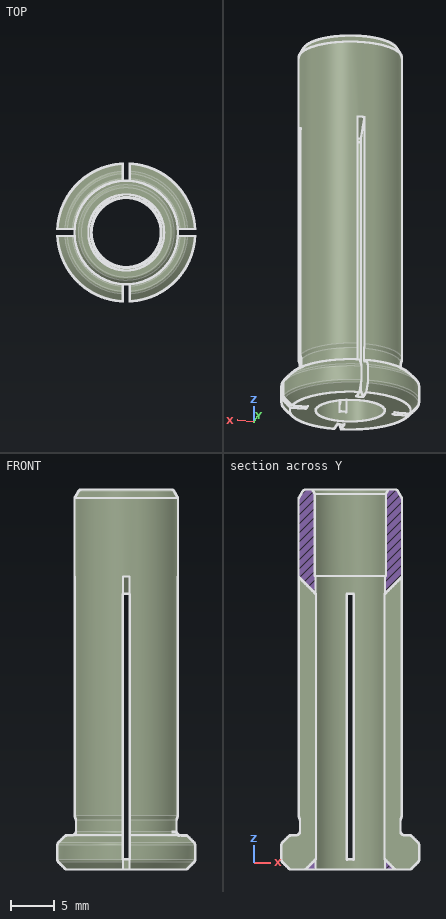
import cadquery as cq
import math

length = 44.0
tube_radius = 12.0 / 2

head_radius = 16.0 / 2
head_height = 4.0
head_chamfer = 1.0
head_edge_rounding = 0.4

groove_radius = 5.85
groove_top = 5.75
groove_taper_height = 0.5
groove_root_rounding = 0.4

tip_taper_height = 1.0
tip_taper_angle = 30.0
tip_edge_rounding = 0.4

clearance_bore_radius = 8.2 / 2
grip_bore_radius = 8.0 / 2
grip_bore_top = 34.0
mouth_taper_width = 0.3
mouth_taper_angle = 30.0

slot_count = 4
slot_width = 0.8
slot_top = 33.9
slot_bottom = 1.2
cutter_overrun = 1.0


def outer_body():
    """Revolved outside shape of the sleeve, still solid."""
    tip_radius = tube_radius - tip_taper_height * math.tan(math.radians(tip_taper_angle))
    return (
        cq.Workplane("XZ")
        .moveTo(0, 0)
        .lineTo(head_radius - head_chamfer, 0)
        .lineTo(head_radius, head_chamfer)
        .lineTo(head_radius, head_height - head_chamfer)
        .lineTo(head_radius - head_chamfer, head_height)
        .lineTo(groove_radius, head_height)
        .lineTo(groove_radius, groove_top)
        .lineTo(tube_radius, groove_top + groove_taper_height)
        .lineTo(tube_radius, length - tip_taper_height)
        .lineTo(tip_radius, length)
        .lineTo(0, length)
        .close()
        .revolve(360, (0, 0, 0), (0, 1, 0))
    )


def ring_edges(body, radius, height):
    """Circular edges of the given radius centred on the axis at the given height."""
    tolerance = 0.01
    return body.edges("%CIRCLE").filter(
        lambda edge: abs(edge.radius() - radius) < tolerance
        and abs(edge.Center().z - height) < tolerance
    )


def round_edges(body):
    """Round the head edges, the groove root and the rim of the tip."""
    rim_radius = head_radius - head_chamfer
    for radius, height in (
        (head_radius, head_chamfer),
        (head_radius, head_height - head_chamfer),
        (rim_radius, head_height),
    ):
        body = ring_edges(body, radius, height).fillet(head_edge_rounding)
    body = ring_edges(body, groove_radius, head_height).fillet(groove_root_rounding)
    return body.faces(">Z").edges().fillet(tip_edge_rounding)


def bore():
    """Stepped through bore with a tapered upper mouth."""
    mouth_radius = clearance_bore_radius + mouth_taper_width
    mouth_taper_height = mouth_taper_width / math.tan(math.radians(mouth_taper_angle))
    return (
        cq.Workplane("XZ")
        .moveTo(0, 0)
        .lineTo(grip_bore_radius, 0)
        .lineTo(grip_bore_radius, grip_bore_top)
        .lineTo(clearance_bore_radius, grip_bore_top)
        .lineTo(clearance_bore_radius, length - mouth_taper_height)
        .lineTo(mouth_radius, length)
        .lineTo(0, length)
        .close()
        .revolve(360, (0, 0, 0), (0, 1, 0))
    )


def slot(angle):
    """Radial slot cutter whose two ends slope at 45 degrees, turned about the axis."""
    reach = head_radius + cutter_overrun
    inner = grip_bore_radius - cutter_overrun
    top_offset = slot_top - tube_radius
    bottom_offset = slot_bottom + grip_bore_radius
    return (
        cq.Workplane("XZ")
        .moveTo(inner, bottom_offset - inner)
        .lineTo(reach, bottom_offset - reach)
        .lineTo(reach, top_offset + reach)
        .lineTo(inner, top_offset + inner)
        .close()
        .extrude(slot_width / 2, both=True)
        .rotate((0, 0, 0), (0, 0, 1), angle)
    )


result = round_edges(outer_body()).cut(bore())
for index in range(slot_count):
    result = result.cut(slot(index * 360.0 / slot_count))